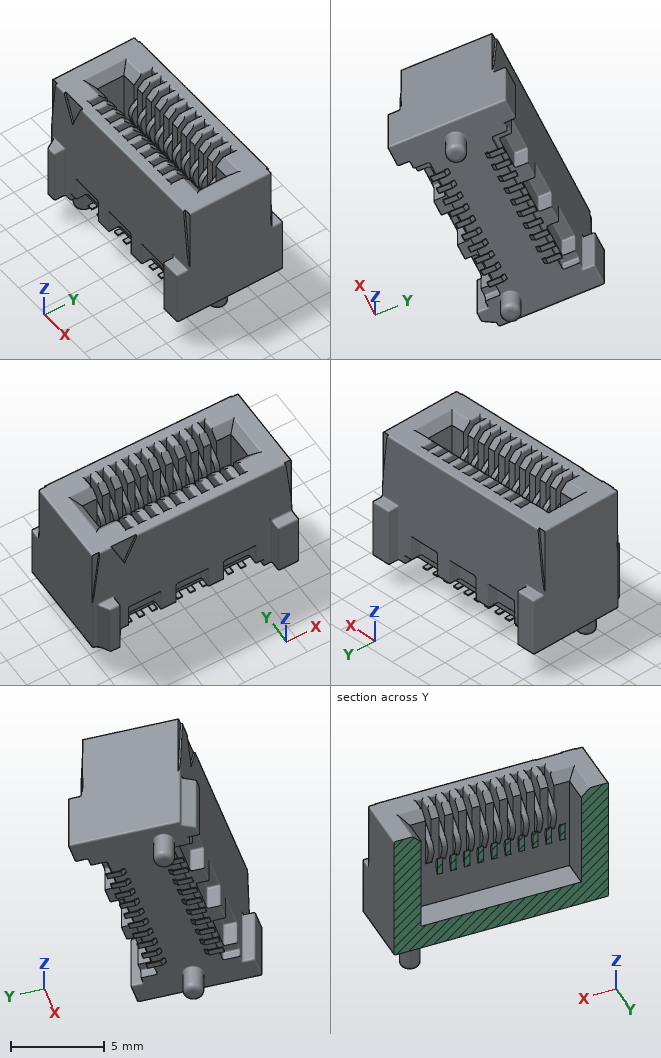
import cadquery as cq
import math

LENGTH = 12.6
WIDTH = 5.6
HEIGHT = 7.8
EDGE = 0.11
HALF_LENGTH = LENGTH / 2
HALF_WIDTH = WIDTH / 2

RELIEF_TOP_WIDTH = 0.43
RELIEF_BOTTOM = 3.84
MARK_X = -4.31
MARK_WIDTH = 1.56
MARK_DEPTH_Z = 1.79

EAR_WIDTH = 1.32
EAR_REACH = 3.5
EAR_HEIGHT = 3.59
EAR_ROOT = 0.09
EAR_EMBED = 1.89
KEYED_ROOT_X = -6.04
KEYED_TIP_X = -5.62

CAVITY_LENGTH = 9.37
CAVITY_WIDTH = 1.74
CAVITY_FLOOR = 1.51
LEAD_IN = 0.52
RIM_ROUND = 0.11

CONTACT_COUNT = 10
PITCH = 0.8
CONTACT_WIDTH = 0.33
SLOT_END = 2.07
TIP_Y = 1.98
BEND_Y = 0.8
BEND_Z = 5.95
NOSE_Y = 0.53
RAMP_ANGLE = 38.0

FOOT_END = 2.15
FOOT_START = 1.1
FOOT_BEND = 1.32
FOOT_DROP = 0.18
FOOT_THICKNESS = 0.08

WINDOW_COUNT = 3
WINDOW_PITCH = 3.0
WINDOW_WIDTH = 2.19
WINDOW_TOP = 2.14
WINDOW_DEPTH = 0.75
CLEARANCE_LENGTH = 9.22
CLEARANCE_TOP = 0.62
CLEARANCE_DEPTH = 0.96
RECESS_ROUND = 0.11
MOUTH_ROUND = 0.09

PEG_DIAMETER = 1.12
PEG_LENGTH = 1.5
PEG_ROUND = 0.29
PEG_ROOT = 0.06
PEG_X = 5.08
LEFT_PEG_Y = -1.51
RIGHT_PEG_Y = 0.0

TOLERANCE = 0.001
OVERLAP = 0.13


def prism_x(points, x_start, x_end):
    """Extrude a (y, z) outline along X."""
    return cq.Workplane("YZ", origin=(x_start, 0, 0)).polyline(points).close().extrude(x_end - x_start)


def prism_y(points, y_start, y_end):
    """Extrude an (x, z) outline along Y."""
    plane = cq.Workplane("XZ", origin=(0, y_start, 0))
    return plane.polyline(points).close().extrude(y_start - y_end)


def box_between(low, high):
    return cq.Workplane("XY").box(*[b - a for a, b in zip(low, high)], centered=False).translate(low)


def both_rows(shape):
    """Return the shape on the -Y side together with its mirror on the +Y side."""
    return shape.union(shape.mirror("XZ"))


def picked(body, keep):
    """Select the edges of a body for which the test is true."""
    return body.newObject([edge for edge in body.edges().vals() if keep(edge)])


def plain_ear():
    low = (HALF_LENGTH - EAR_WIDTH, -EAR_REACH, 0)
    high = (HALF_LENGTH, -EAR_EMBED, EAR_HEIGHT)
    return box_between(low, high)


def keyed_ear():
    """The ear at the -X, -Y corner, with its outer side slanted."""
    inner_x = -HALF_LENGTH + EAR_WIDTH
    outline = [
        (KEYED_ROOT_X, -EAR_EMBED),
        (KEYED_ROOT_X, -HALF_WIDTH),
        (KEYED_TIP_X, -EAR_REACH),
        (inner_x, -EAR_REACH),
        (inner_x, -EAR_EMBED),
    ]
    return cq.Workplane("XY").polyline(outline).close().extrude(EAR_HEIGHT)


def raw_housing():
    """Sharp-edged block with its four corner ears."""
    body = box_between((-HALF_LENGTH, -HALF_WIDTH, 0), (HALF_LENGTH, HALF_WIDTH, HEIGHT))
    front_right = plain_ear()
    back_right = front_right.mirror("XZ")
    back_left = back_right.mirror("YZ")
    return body.union(front_right).union(back_right).union(back_left).union(keyed_ear())


def recess_block(x, width, top, depth):
    """Straight recess in the -Y wall, open outwards and downwards, with rounded inner edges."""
    block = cq.Workplane("XY", origin=(x, -HALF_WIDTH, 0)).box(width, 2 * depth, 2 * top)
    return block.edges("|Y or >Y").fillet(RECESS_ROUND)


def straight_recesses():
    inset = 2 * MOUTH_ROUND
    recesses = recess_block(0, CLEARANCE_LENGTH - inset, CLEARANCE_TOP - MOUTH_ROUND, CLEARANCE_DEPTH)
    for i in range(WINDOW_COUNT):
        x = (i - (WINDOW_COUNT - 1) / 2) * WINDOW_PITCH
        window = recess_block(x, WINDOW_WIDTH - inset, WINDOW_TOP - MOUTH_ROUND, WINDOW_DEPTH)
        recesses = recesses.union(window)
    return recesses


def is_recess_mouth(edge):
    """True for an edge around the recess openings in the slab they are shaped in."""
    center = edge.Center()
    inside = abs(center.x) < CLEARANCE_LENGTH / 2 and abs(center.z) < WINDOW_TOP
    return inside and abs(center.y + HALF_WIDTH) < TOLERANCE


def side_recesses():
    """Recess volume in the -Y wall with its opening flared by a rounded mouth.

    It is shaped in a slab reaching below the housing, so the mouth runs straight out at the bottom.
    """
    half_span = CLEARANCE_LENGTH / 2 + OVERLAP
    inner_y = -HALF_WIDTH + CLEARANCE_DEPTH + OVERLAP
    low = (-half_span, -HALF_WIDTH, -CLEARANCE_TOP / 2)
    high = (half_span, inner_y, WINDOW_TOP + OVERLAP)
    slab = box_between(low, high)
    hollow = slab.cut(straight_recesses())
    return slab.cut(picked(hollow, is_recess_mouth).fillet(MOUTH_ROUND))


def near_ear_root(edge):
    """True for an edge at the junction of an ear and a long wall, before or after rounding it."""
    center = edge.Center()
    across = HALF_LENGTH - EAR_WIDTH - EAR_ROOT - TOLERANCE < abs(center.x) < HALF_LENGTH - TOLERANCE
    along = HALF_WIDTH - TOLERANCE < abs(center.y) < HALF_WIDTH + EAR_ROOT + TOLERANCE
    upward = TOLERANCE < center.z < EAR_HEIGHT + EAR_ROOT + TOLERANCE
    return across and along and upward


def is_outer_edge(edge):
    return not near_ear_root(edge)


def housing():
    body = picked(raw_housing(), near_ear_root).fillet(EAR_ROOT)
    body = picked(body, is_outer_edge).fillet(EDGE)
    return body.cut(both_rows(side_recesses()))


def corner_reliefs():
    """Shallow wedge-shaped steps at the upper ends of both long walls."""
    outline = [
        (HALF_LENGTH, RELIEF_BOTTOM),
        (HALF_LENGTH - RELIEF_TOP_WIDTH, HEIGHT),
        (HALF_LENGTH, HEIGHT),
    ]
    right = prism_y(outline, -HALF_WIDTH, -HALF_WIDTH + EDGE)
    return both_rows(right.union(right.mirror("YZ")))


def pin_one_mark():
    outline = [
        (MARK_X - MARK_WIDTH / 2, HEIGHT),
        (MARK_X + MARK_WIDTH / 2, HEIGHT),
        (MARK_X, HEIGHT - MARK_DEPTH_Z),
    ]
    return prism_y(outline, -HALF_WIDTH, -HALF_WIDTH + EDGE)


def card_cavity():
    """Card slot with a 45 degree lead-in at the top."""
    mouth_length = CAVITY_LENGTH + 2 * LEAD_IN
    mouth_width = CAVITY_WIDTH + 2 * LEAD_IN
    lead_in = cq.Workplane("XY", origin=(0, 0, HEIGHT)).rect(mouth_length, mouth_width)
    well = cq.Workplane("XY", origin=(0, 0, CAVITY_FLOOR)).rect(CAVITY_LENGTH, CAVITY_WIDTH)
    return lead_in.extrude(-LEAD_IN, taper=45).union(well.extrude(HEIGHT - CAVITY_FLOOR))


def row_of(make):
    """Repeat a shape at every contact position along X."""
    row = cq.Workplane("XY")
    for i in range(CONTACT_COUNT):
        row = row.add(make((i - (CONTACT_COUNT - 1) / 2) * PITCH))
    return row.combine()


def contact_slot(x):
    """Slot in the -Y cavity wall, open to the cavity, reaching down to the contact bend."""
    low = (x - CONTACT_WIDTH / 2, -SLOT_END, BEND_Z)
    high = (x + CONTACT_WIDTH / 2, 0, HEIGHT)
    return box_between(low, high)


def is_opening_rim(edge):
    """True for an edge around the openings in the top face, away from its outer border."""
    center = edge.Center()
    inside = abs(center.x) < HALF_LENGTH - 2 * EDGE and abs(center.y) < HALF_WIDTH - 2 * EDGE
    return inside and edge.BoundingBox().zmin > HEIGHT - TOLERANCE


def contact(x):
    """Contact blade on the -Y side: sloped ramp and a round nose standing into the cavity."""
    angle = math.radians(RAMP_ANGLE)
    tip_z = BEND_Z + (TIP_Y - BEND_Y) * math.tan(angle)
    nose_radius = (BEND_Y - NOSE_Y) / (1 - math.cos(angle))
    nose_rise = nose_radius * math.sin(angle)
    nose_z = BEND_Z - nose_rise
    back_y = -SLOT_END - OVERLAP
    side = (
        cq.Workplane("YZ", origin=(x - CONTACT_WIDTH / 2, 0, 0))
        .moveTo(-SLOT_END, tip_z - (SLOT_END - TIP_Y))
        .lineTo(-TIP_Y, tip_z)
        .lineTo(-BEND_Y, BEND_Z)
        .tangentArcPoint((-NOSE_Y, nose_z), relative=False)
        .tangentArcPoint((-BEND_Y, nose_z - nose_rise), relative=False)
        .lineTo(-CAVITY_WIDTH / 2 - OVERLAP, nose_z - nose_rise - OVERLAP)
        .lineTo(back_y, nose_z - nose_rise - OVERLAP)
        .lineTo(back_y, BEND_Z)
        .lineTo(-SLOT_END, BEND_Z)
        .close()
    )
    return side.extrude(CONTACT_WIDTH)


def solder_foot(x):
    """Bent strip on the -Y side, coming out of the underside and lying flat below it."""
    outline = [
        (-FOOT_START, OVERLAP),
        (-FOOT_START, 0),
        (-FOOT_BEND, -FOOT_DROP),
        (-FOOT_END, -FOOT_DROP),
        (-FOOT_END, FOOT_THICKNESS - FOOT_DROP),
        (-FOOT_BEND - FOOT_THICKNESS / 2, FOOT_THICKNESS - FOOT_DROP),
        (-FOOT_START - FOOT_THICKNESS * 2, 0),
        (-FOOT_START - FOOT_THICKNESS * 2, OVERLAP),
    ]
    return prism_x(outline, x - CONTACT_WIDTH / 2, x + CONTACT_WIDTH / 2)


def peg(x, y):
    """Round-nosed locating peg with a flared root."""
    radius = PEG_DIAMETER / 2
    half_profile = (
        cq.Workplane("XZ", origin=(x, y, 0))
        .moveTo(0, OVERLAP)
        .lineTo(radius, OVERLAP)
        .lineTo(radius + PEG_ROOT, 0)
        .radiusArc((radius, -PEG_ROOT), -PEG_ROOT)
        .lineTo(radius, PEG_ROUND - PEG_LENGTH)
        .radiusArc((radius - PEG_ROUND, -PEG_LENGTH), PEG_ROUND)
        .lineTo(0, -PEG_LENGTH)
        .close()
    )
    return half_profile.revolve(360, (0, 0, 0), (0, 1, 0))


slots = row_of(contact_slot)
contacts = row_of(contact).union(row_of(solder_foot))

result = housing().cut(corner_reliefs()).cut(pin_one_mark())
result = result.cut(card_cavity().union(both_rows(slots)))
result = picked(result, is_opening_rim).fillet(RIM_ROUND)
result = result.union(both_rows(contacts))
result = result.union(peg(-PEG_X, LEFT_PEG_Y)).union(peg(PEG_X, RIGHT_PEG_Y))